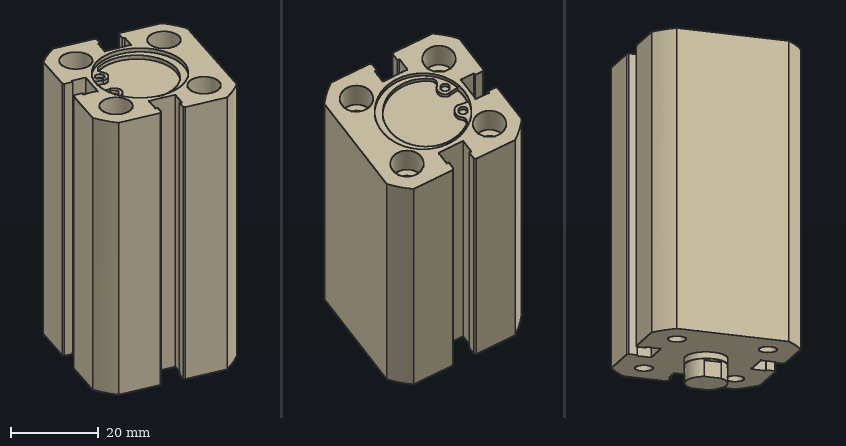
import cadquery as cq
import math

side = 36.0
total_length = 78.0
rod_protrusion = 5.85
housing_length = total_length - rod_protrusion
corner_radius = 22.55

hole_offset = 11.0
hole_diameter = 4.1
counterbore_diameter = 7.6
counterbore_depth = 7.0

slot_opening = 5.45
slot_inner_width = 6.55
slot_depth = 5.9
slot_lip = 2.4
lip_chamfer = 0.4

bore_radius = 11.0
ring_recess = 1.0
ring_thickness = 1.0
cap_thickness = 6.25
ring_top = housing_length - ring_recess
cap_top = ring_top - ring_thickness
cap_bottom = cap_top - cap_thickness

ring_inner_radius = 9.8
ring_inner_shift = 0.8
lug_x = 3.9
lug_y = -8.3
lug_radius = 1.95
lug_hole_diameter = 2.2
lug_fillet = 1.5
gap_half_inner = 2.0
gap_half_outer = 2.4

rod_diameter = 10.0
tip_diameter = 9.8
collar_length = 1.55
flat_width = 9.0


def cylinder(radius, bottom, top):
    """Upright cylinder on the housing axis."""
    return cq.Workplane("XY").workplane(offset=bottom).circle(radius).extrude(top - bottom)


def make_slot_cutter(angle):
    """T-slot in the -Y face, turned about the housing axis by the angle."""
    face = -side / 2
    half_opening = slot_opening / 2
    half_inner = slot_inner_width / 2
    half_mouth = half_opening + lip_chamfer
    right_half = [
        (half_mouth, face),
        (half_opening, face + lip_chamfer),
        (half_opening, face + slot_lip),
        (half_inner, face + slot_lip),
        (half_inner, face + slot_depth),
    ]
    left_half = [(-x, y) for x, y in reversed(right_half)]
    cutter = cq.Workplane("XY").polyline(right_half + left_half).close().extrude(housing_length)
    return cutter.rotate((0, 0, 0), (0, 0, 1), angle)


def make_housing():
    body = cq.Workplane("XY").rect(side, side).extrude(housing_length)
    body = body.intersect(cylinder(corner_radius, 0, housing_length))
    for angle in (-90, 0, 90):
        body = body.cut(make_slot_cutter(angle))
    body = (
        body.faces(">Z").workplane(origin=(0, 0, housing_length))
        .rect(2 * hole_offset, 2 * hole_offset, forConstruction=True).vertices()
        .cboreHole(hole_diameter, counterbore_diameter, counterbore_depth)
    )
    body = body.cut(cylinder(bore_radius, cap_bottom, housing_length))
    return body.cut(cylinder(rod_diameter / 2, 0, cap_bottom))


def make_end_cap():
    return cylinder(bore_radius, cap_bottom, cap_top)


def make_retaining_ring():
    plane = cq.Workplane("XY").workplane(offset=cap_top)
    lug_places = [(-lug_x, lug_y), (lug_x, lug_y)]
    rim = -bore_radius

    opening = plane.center(0, -ring_inner_shift).circle(ring_inner_radius).extrude(ring_thickness)
    ring = cylinder(bore_radius, cap_top, ring_top).cut(opening)

    lugs = plane.pushPoints(lug_places).circle(lug_radius).extrude(ring_thickness)
    web = (
        plane.center(0, (lug_y + rim) / 2)
        .rect(2 * lug_x, lug_y - rim).extrude(ring_thickness)
    )
    lugs = lugs.union(web).intersect(cylinder(bore_radius, cap_top, ring_top))
    gap = (
        plane.polyline([
            (-gap_half_inner, lug_y), (gap_half_inner, lug_y),
            (gap_half_outer, rim), (-gap_half_outer, rim),
        ]).close().extrude(ring_thickness)
    )
    ring = ring.union(lugs).cut(gap)

    reach = math.hypot(lug_x, lug_y + ring_inner_shift)
    along = (reach**2 + lug_radius**2 - ring_inner_radius**2) / (2 * reach)
    turn = math.acos(along / lug_radius)
    inward = math.atan2(-ring_inner_shift - lug_y, -lug_x)
    corner_x = lug_x + lug_radius * math.cos(inward - turn)
    corner_y = lug_y + lug_radius * math.sin(inward - turn)
    middle = cap_top + ring_thickness / 2
    for x in (-corner_x, corner_x):
        corner = cq.selectors.NearestToPointSelector((x, corner_y, middle))
        ring = ring.edges("|Z").edges(corner).fillet(lug_fillet)

    holes = plane.pushPoints(lug_places).circle(lug_hole_diameter / 2).extrude(ring_thickness)
    return ring.cut(holes)


def make_rod():
    shank = cylinder(rod_diameter / 2, -collar_length, cap_bottom)
    tip = cylinder(tip_diameter / 2, -rod_protrusion, -collar_length)

    half_flat = flat_width / 2
    half_tip = tip_diameter / 2
    ledge_rise = half_tip - half_flat
    flat_profile = [
        (half_flat, -rod_protrusion),
        (half_flat, -collar_length - ledge_rise),
        (half_tip, -collar_length),
        (half_tip, -rod_protrusion),
    ]
    cutter = cq.Workplane("YZ").polyline(flat_profile).close().extrude(half_tip, both=True)
    tip = tip.cut(cutter).cut(cutter.mirror("XZ"))
    return shank.union(tip)


housing = make_housing()
end_cap = make_end_cap()
retaining_ring = make_retaining_ring()
rod = make_rod()

result = cq.Compound.makeCompound([
    housing.val(),
    end_cap.val(),
    retaining_ring.val(),
    rod.val(),
])